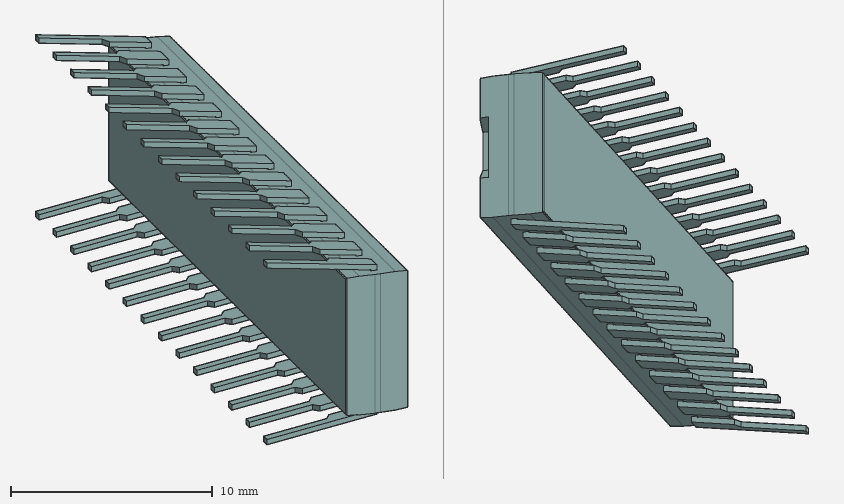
import cadquery as cq
import math

BODY_LENGTH = 34.6
BODY_HEIGHT = 7.38
BODY_THICKNESS = 3.3
BAND_THICKNESS = 1.9
TAPER_INSET = 0.05
END_DRAFT = 0.09
EDGE_BREAK = 0.05

FRAME_THICKNESS = 0.3

LEADS_PER_ROW = 14
PITCH = 2.54
OVERALL_HEIGHT = 9.68
OVERALL_DEPTH = 7.3
LEAD_THICKNESS = 0.28
SPLAY_ANGLE = 8.5
SHOULDER_WIDTH = 1.25
LEAD_WIDTH = 0.5
SHOULDER_LENGTH = 2.07
SHOULDER_TAPER = 0.25
ROOT_DEPTH = 0.5

NOTCH_MOUTH = 3.3
NOTCH_FLOOR = 2.0
NOTCH_RUN = 0.65
NOTCH_DEPTH = 0.45

BACK_Y = BODY_THICKNESS / 2
TIP_Y = BACK_Y - OVERALL_DEPTH
FRAME_BACK_Y = FRAME_THICKNESS / 2
FRAME_FRONT_Y = -FRAME_BACK_Y


def make_body():
    """Body with a straight band and margins tapering to the front and back faces."""
    half_z = BODY_HEIGHT / 2
    face_half_z = half_z - TAPER_INSET
    band_y = BAND_THICKNESS / 2
    side_profile = [
        (BACK_Y, face_half_z),
        (band_y, half_z),
        (-band_y, half_z),
        (-BACK_Y, face_half_z),
        (-BACK_Y, -face_half_z),
        (-band_y, -half_z),
        (band_y, -half_z),
        (BACK_Y, -face_half_z),
    ]
    section = cq.Workplane("YZ").polyline(side_profile).close().extrude(BODY_LENGTH / 2, both=True)

    half_x = BODY_LENGTH / 2
    face_half_x = half_x - END_DRAFT
    plan_profile = [
        (face_half_x, BACK_Y),
        (half_x, FRAME_BACK_Y),
        (half_x, FRAME_FRONT_Y),
        (face_half_x, -BACK_Y),
        (-face_half_x, -BACK_Y),
        (-half_x, FRAME_FRONT_Y),
        (-half_x, FRAME_BACK_Y),
        (-face_half_x, BACK_Y),
    ]
    plan = cq.Workplane("XY").polyline(plan_profile).close().extrude(BODY_HEIGHT, both=True)
    tapered = section.intersect(plan)
    return tapered.faces("<Y or >Y").chamfer(EDGE_BREAK)


def make_notch():
    """Cutter for the trapezoidal notch, narrowing inwards along X."""
    mouth_x = -BODY_LENGTH / 2
    floor_x = mouth_x + NOTCH_RUN
    outline = [
        (mouth_x, NOTCH_MOUTH / 2),
        (floor_x, NOTCH_FLOOR / 2),
        (floor_x, -NOTCH_FLOOR / 2),
        (mouth_x, -NOTCH_MOUTH / 2),
    ]
    plane = cq.Workplane("XZ", origin=(0, BACK_Y, 0))
    return plane.polyline(outline).close().extrude(NOTCH_DEPTH)


def make_lead_strip():
    """Side profile of an upper lead, extruded over the whole row length."""
    slope = math.tan(math.radians(SPLAY_ANGLE))
    upright_thickness = LEAD_THICKNESS / math.cos(math.radians(SPLAY_ANGLE))
    tip_z = OVERALL_HEIGHT / 2
    bend_outer_z = tip_z - slope * (FRAME_BACK_Y - TIP_Y)
    bend_inner_z = tip_z - slope * (FRAME_FRONT_Y - TIP_Y) - upright_thickness
    root_z = BODY_HEIGHT / 2 - ROOT_DEPTH
    profile = [
        (FRAME_BACK_Y, root_z),
        (FRAME_BACK_Y, bend_outer_z),
        (TIP_Y, tip_z),
        (TIP_Y, tip_z - upright_thickness),
        (FRAME_FRONT_Y, bend_inner_z),
        (FRAME_FRONT_Y, root_z),
    ]
    return cq.Workplane("YZ").polyline(profile).close().extrude(BODY_LENGTH / 2, both=True)


def make_lead_prism(center_x, left_half, right_half):
    """Prism over the plan of one lead: wide shoulder tapering to a narrow leg."""
    leg_half = LEAD_WIDTH / 2
    taper_end_y = -SHOULDER_LENGTH - SHOULDER_TAPER
    outline = cq.Workplane("XY").moveTo(center_x - left_half, FRAME_BACK_Y)
    outline = outline.lineTo(center_x + right_half, FRAME_BACK_Y)
    outline = outline.lineTo(center_x + right_half, -SHOULDER_LENGTH)
    outline = outline.lineTo(center_x + leg_half, taper_end_y)
    outline = outline.lineTo(center_x + leg_half, TIP_Y)
    outline = outline.lineTo(center_x - leg_half, TIP_Y)
    outline = outline.lineTo(center_x - leg_half, taper_end_y)
    outline = outline.lineTo(center_x - left_half, -SHOULDER_LENGTH)
    return outline.close().extrude(OVERALL_HEIGHT)


def make_upper_leads():
    """Row of leads; the end ones have no shoulder on the outer side."""
    strip = make_lead_strip()
    full_half = SHOULDER_WIDTH / 2
    leg_half = LEAD_WIDTH / 2
    last = LEADS_PER_ROW - 1
    leads = []
    for index in range(LEADS_PER_ROW):
        center_x = (index - last / 2) * PITCH
        left_half = leg_half if index == 0 else full_half
        right_half = leg_half if index == last else full_half
        leads.append(strip.intersect(make_lead_prism(center_x, left_half, right_half)))
    return leads


result = make_body().cut(make_notch())
for lead in make_upper_leads():
    result = result.union(lead).union(lead.mirror("XY"))